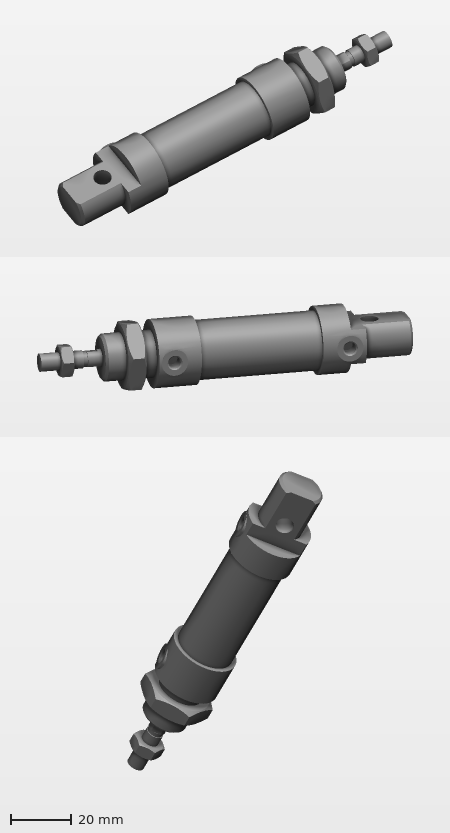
import cadquery as cq
import math

total_length = 126.0

cap_dia = 23.0
tube_dia = 20.0
nose_dia = 16.0
rear_cap_start = 16.9
rear_cap_length = 14.9
front_cap_start = 73.3
front_cap_length = 14.5
nose_end = 105.1
nose_chamfer = 0.9
tongue_chamfer = 0.9

tongue_thickness = 12.0
tongue_flat_length = 21.9
pin_hole_dia = 6.0
pin_hole_y = 13.1

port_boss_dia = 9.0
port_mouth_dia = 5.0
port_hole_dia = 4.2
port_depth = 5.0
port_positions = (22.5, 82.5)

rod_dia = 6.0
groove_dia = 5.3
groove_start = 110.0
groove_length = 1.4
rod_flat_start = 106.3
rod_flat_width = 5.0
rod_turn = -9.0

mount_nut_flats = 22.0
mount_nut_start = 92.0
mount_nut_length = 6.2
mount_nut_turn = -12.5
mount_nut_face_dia = 21.3

rod_nut_flats = 10.1
rod_nut_start = 115.2
rod_nut_length = 4.3
rod_nut_face_dia = 9.8

nut_chamfer_angle = 30.0


def cylinder_y(diameter, start, end):
    """Solid cylinder on the Y axis between two Y positions."""
    face = cq.Workplane("XZ", origin=(0, start, 0)).circle(diameter / 2)
    return face.extrude(start - end)


def cylinder_x(diameter, y, outer_x, depth):
    """Solid cylinder that runs from outer_x toward +X."""
    return cq.Workplane("YZ", origin=(outer_x, y, 0)).circle(diameter / 2).extrude(depth)


def make_turned_housing():
    tongue = cylinder_y(nose_dia, 0, rear_cap_start).faces("<Y").chamfer(tongue_chamfer)
    rear_cap = cylinder_y(cap_dia, rear_cap_start, rear_cap_start + rear_cap_length)
    tube = cylinder_y(tube_dia, rear_cap_start + rear_cap_length, front_cap_start)
    front_cap_end = front_cap_start + front_cap_length
    front_cap = cylinder_y(cap_dia, front_cap_start, front_cap_end)
    nose = cylinder_y(nose_dia, front_cap_end, nose_end).faces(">Y").chamfer(nose_chamfer)
    return tongue.union(rear_cap).union(tube).union(front_cap).union(nose)


def cut_clevis(housing):
    """Mill both sides of the tongue flat and drill the pin hole along Z."""
    for side in (1, -1):
        waste = cq.Workplane("XY").box(cap_dia, tongue_flat_length, cap_dia)
        center_z = side * (tongue_thickness + cap_dia) / 2
        housing = housing.cut(waste.translate((0, tongue_flat_length / 2, center_z)))
    pin_hole = (
        cq.Workplane("XY", origin=(0, pin_hole_y, -tongue_thickness / 2))
        .circle(pin_hole_dia / 2)
        .extrude(tongue_thickness)
    )
    return housing.cut(pin_hole)


def add_port(housing, y):
    """Flat-faced boss level with the cap surface, and a blind hole with a countersunk mouth."""
    outer_x = -cap_dia / 2
    housing = housing.union(cylinder_x(port_boss_dia, y, outer_x, port_depth))
    hole = cylinder_x(port_hole_dia, y, outer_x, port_depth)
    countersink_depth = (port_mouth_dia - port_hole_dia) / 2
    countersink = cq.Solid.makeCone(
        port_mouth_dia / 2,
        port_hole_dia / 2,
        countersink_depth,
        pnt=cq.Vector(outer_x, y, 0),
        dir=cq.Vector(1, 0, 0),
    )
    return housing.cut(hole).cut(cq.Workplane(countersink))


def make_housing():
    housing = cut_clevis(make_turned_housing())
    for y in port_positions:
        housing = add_port(housing, y)
    return housing


def make_rod():
    """Rod that meets the nose face, with a groove and two wrench flats behind it."""
    rod = cylinder_y(rod_dia, nose_end, total_length)
    groove_end = groove_start + groove_length
    ring = cylinder_y(rod_dia, groove_start, groove_end).cut(
        cylinder_y(groove_dia, groove_start, groove_end)
    )
    rod = rod.cut(ring)
    flat_length = groove_start - rod_flat_start
    for side in (1, -1):
        waste = cq.Workplane("XY").box(rod_dia, flat_length, rod_dia)
        center_z = side * (rod_flat_width + rod_dia) / 2
        waste = waste.translate((0, rod_flat_start + flat_length / 2, center_z))
        rod = rod.cut(waste.rotate((0, 0, 0), (0, 1, 0), -rod_turn))
    return rod


def make_nut(flats, start, length, turn, face_dia, bore_dia):
    """Hexagon nut on the Y axis, its corners chamfered conically at both ends."""
    corner_dia = flats / math.cos(math.pi / 6)
    hexagon = (
        cq.Workplane("XZ", origin=(0, start, 0))
        .polygon(6, corner_dia)
        .extrude(-length)
        .rotate((0, 0, 0), (0, 1, 0), -turn)
    )
    radial_chamfer = (corner_dia - face_dia) / 2
    axial_chamfer = radial_chamfer * math.tan(math.radians(nut_chamfer_angle))
    end = start + length
    envelope = (
        cq.Workplane("XY")
        .moveTo(0, start)
        .lineTo(face_dia / 2, start)
        .lineTo(corner_dia / 2, start + axial_chamfer)
        .lineTo(corner_dia / 2, end - axial_chamfer)
        .lineTo(face_dia / 2, end)
        .lineTo(0, end)
        .close()
        .revolve(360, (0, 0, 0), (0, 1, 0))
    )
    return hexagon.intersect(envelope).cut(cylinder_y(bore_dia, start, end))


housing = make_housing()
rod = make_rod()
mount_nut = make_nut(
    mount_nut_flats, mount_nut_start, mount_nut_length, mount_nut_turn, mount_nut_face_dia, nose_dia
)
rod_nut = make_nut(
    rod_nut_flats, rod_nut_start, rod_nut_length, rod_turn, rod_nut_face_dia, rod_dia
)

result = cq.Compound.makeCompound([housing.val(), rod.val(), mount_nut.val(), rod_nut.val()])